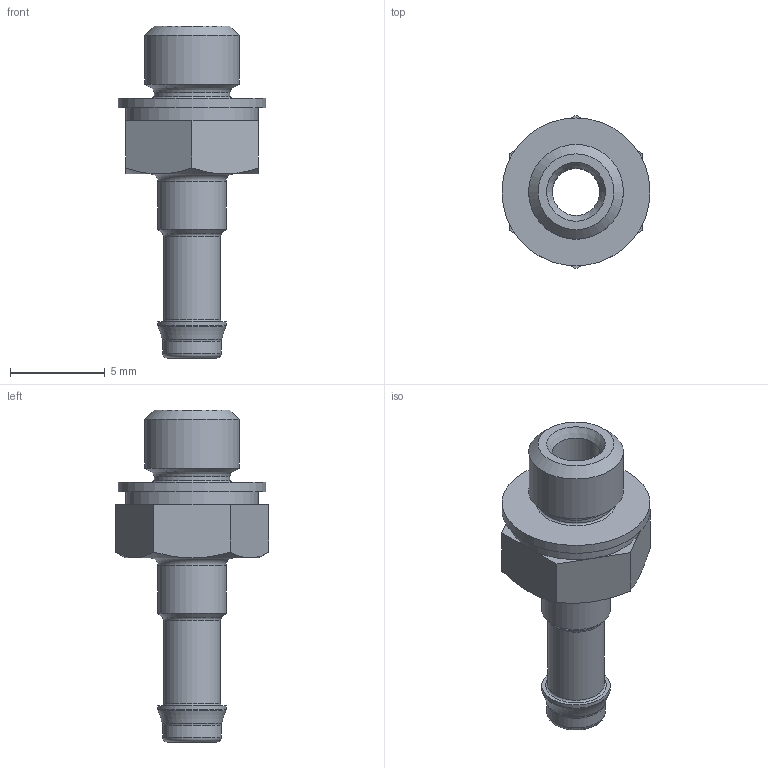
import cadquery as cq
import math

total_height = 17.5
bore_diameter = 2.5
countersink_diameter = 3.1
countersink_half_angle = math.radians(30)

thread_radius = 5.0 / 2
thread_chamfer = 0.5
thread_bottom_z = total_height - 3.06
neck_radius = 4.0 / 2
runout_angle = math.radians(30)
neck_upper_fillet = 0.3
neck_lower_fillet = 0.1

washer_radius = 7.8 / 2
washer_thickness = 0.5
washer_top_z = total_height - 3.8
collar_height = 0.7

across_flats = 7.0
hex_height = 2.8
hex_chamfer_angle = math.radians(30)

shoulder_radius = 3.6 / 2
shoulder_bottom_z = 6.78
shoulder_fillet = 0.4
tube_radius = 3.0 / 2
tube_fillet = 0.2
step_angle = math.radians(45)

barb_radius = shoulder_radius
barb_top_z = 1.91
barb_root_fillet = 0.1
barb_lip_height = 0.2
lip_edge_height = 0.05
flare_top_radius = 1.79
flare_mid_radius = 1.665
flare_bottom_radius = 1.58
flare_bottom_z = 1.0
tip_radius = 3.1 / 2
tip_top_z = 0.88
tip_fillet = 0.25

collar_top_z = washer_top_z - washer_thickness
hex_top_z = collar_top_z - collar_height
hex_bottom_z = hex_top_z - hex_height
barb_lip_bottom_z = barb_top_z - barb_lip_height
flare_top_z = barb_lip_bottom_z - lip_edge_height
countersink_depth = (countersink_diameter - bore_diameter) / 2 / math.tan(countersink_half_angle)
flat_radius = across_flats / 2
corner_radius = flat_radius / math.cos(math.pi / 6)


def arc_point(center_r, center_z, radius, angle):
    """Point (r, z) on a fillet circle, at an angle from the outward direction."""
    return center_r + radius * math.cos(angle), center_z + radius * math.sin(angle)


def revolve_about_z(profile):
    """Full turn of a closed XZ profile about the part axis."""
    return profile.revolve(360, (0, 0, 0), (0, 1, 0))


def make_cylinder(radius, bottom_z, height):
    return cq.Workplane("XY").workplane(offset=bottom_z).circle(radius).extrude(height)


def make_threaded_end():
    """Chamfered thread body and the undercut neck that meets the washer."""
    runout_end_r = neck_radius + neck_upper_fillet * (1 - math.sin(runout_angle))
    runout_end_z = thread_bottom_z - (thread_radius - runout_end_r) * math.tan(runout_angle)
    upper_center_r = neck_radius + neck_upper_fillet
    upper_center_z = runout_end_z - neck_upper_fillet * math.cos(runout_angle)
    upper_mid_angle = (math.pi + math.pi / 2 + runout_angle) / 2
    upper_middle = arc_point(upper_center_r, upper_center_z, neck_upper_fillet, upper_mid_angle)
    lower_center_r = neck_radius + neck_lower_fillet
    lower_center_z = washer_top_z + neck_lower_fillet
    lower_middle = arc_point(lower_center_r, lower_center_z, neck_lower_fillet, math.radians(225))
    profile = (
        cq.Workplane("XZ")
        .moveTo(0, washer_top_z)
        .lineTo(lower_center_r, washer_top_z)
        .threePointArc(lower_middle, (neck_radius, lower_center_z))
        .lineTo(neck_radius, upper_center_z)
        .threePointArc(upper_middle, (runout_end_r, runout_end_z))
        .lineTo(thread_radius, thread_bottom_z)
        .lineTo(thread_radius, total_height - thread_chamfer)
        .lineTo(thread_radius - thread_chamfer, total_height)
        .lineTo(0, total_height)
        .close()
    )
    return revolve_about_z(profile)


def make_hexagon():
    """Hexagon with corners on the Y axis and its lower corners turned to a cone."""
    prism = (
        cq.Workplane("XY")
        .workplane(offset=hex_bottom_z)
        .transformed(rotate=(0, 0, 90))
        .polygon(6, 2 * corner_radius)
        .extrude(hex_height)
    )
    envelope_radius = across_flats
    cone_height = (envelope_radius - flat_radius) * math.tan(hex_chamfer_angle)
    envelope_profile = (
        cq.Workplane("XZ")
        .moveTo(0, hex_bottom_z)
        .lineTo(flat_radius, hex_bottom_z)
        .lineTo(envelope_radius, hex_bottom_z + cone_height)
        .lineTo(envelope_radius, hex_top_z)
        .lineTo(0, hex_top_z)
        .close()
    )
    return prism.intersect(revolve_about_z(envelope_profile))


def make_hose_tail():
    """Shoulder, tube and barb below the hexagon."""
    tip_middle = arc_point(tip_radius - tip_fillet, tip_fillet, tip_fillet, math.radians(-45))
    flare_middle = (flare_mid_radius, (flare_top_z + flare_bottom_z) / 2)
    root_center_r = tube_radius + barb_root_fillet
    root_center_z = barb_top_z + barb_root_fillet
    root_middle = arc_point(root_center_r, root_center_z, barb_root_fillet, math.radians(225))
    step_end_r = tube_radius + tube_fillet * (1 - math.cos(step_angle))
    step_end_z = shoulder_bottom_z - (shoulder_radius - step_end_r) * math.tan(step_angle)
    tube_center_r = tube_radius + tube_fillet
    tube_center_z = step_end_z - tube_fillet * math.sin(step_angle)
    tube_mid_angle = math.pi - step_angle / 2
    tube_middle = arc_point(tube_center_r, tube_center_z, tube_fillet, tube_mid_angle)
    shoulder_center_r = shoulder_radius + shoulder_fillet
    shoulder_center_z = hex_bottom_z - shoulder_fillet
    shoulder_middle = arc_point(
        shoulder_center_r, shoulder_center_z, shoulder_fillet, math.radians(135)
    )
    profile = (
        cq.Workplane("XZ")
        .lineTo(tip_radius - tip_fillet, 0)
        .threePointArc(tip_middle, (tip_radius, tip_fillet))
        .lineTo(tip_radius, tip_top_z)
        .tangentArcPoint((flare_bottom_radius, flare_bottom_z), relative=False)
        .threePointArc(flare_middle, (flare_top_radius, flare_top_z))
        .lineTo(barb_radius, barb_lip_bottom_z)
        .lineTo(barb_radius, barb_top_z)
        .lineTo(root_center_r, barb_top_z)
        .threePointArc(root_middle, (tube_radius, root_center_z))
        .lineTo(tube_radius, tube_center_z)
        .threePointArc(tube_middle, (step_end_r, step_end_z))
        .lineTo(shoulder_radius, shoulder_bottom_z)
        .lineTo(shoulder_radius, shoulder_center_z)
        .threePointArc(shoulder_middle, (shoulder_center_r, hex_bottom_z))
        .lineTo(0, hex_bottom_z)
        .close()
    )
    return revolve_about_z(profile)


def make_bore():
    """Through bore with a conical countersink at the threaded end."""
    bore_radius = bore_diameter / 2
    profile = (
        cq.Workplane("XZ")
        .lineTo(bore_radius, 0)
        .lineTo(bore_radius, total_height - countersink_depth)
        .lineTo(countersink_diameter / 2, total_height)
        .lineTo(0, total_height)
        .close()
    )
    return revolve_about_z(profile)


washer = make_cylinder(washer_radius, collar_top_z, washer_thickness)
collar = make_cylinder(flat_radius, hex_top_z, collar_height)

result = (
    make_hose_tail()
    .union(make_hexagon())
    .union(collar)
    .union(washer)
    .union(make_threaded_end())
    .cut(make_bore())
)